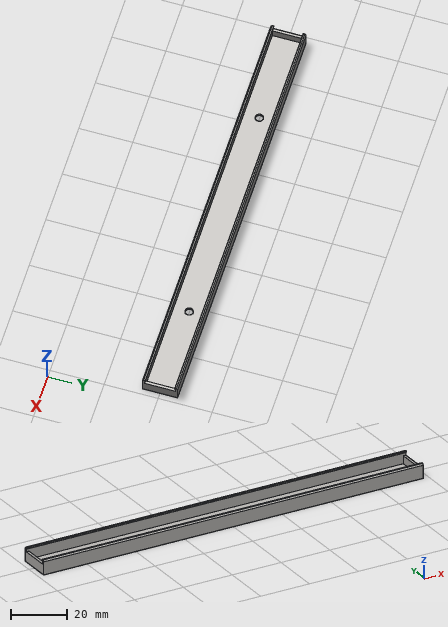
import cadquery as cq

length = 155.6
width = 13.0
height = 5.8

side_wall = 0.85
end_wall = 1.1
end_wall_height = 4.0
floor = 1.0

lip_overhang = 0.23
lip_height = 0.5

chamfer_width = 0.5
chamfer_height = 0.55

hole_diameter = 3.0
hole_spacing = 85.0


def make_tray():
    """Open trough with end walls lower than its side walls."""
    body = cq.Workplane("XY").box(length, width, height, centered=(True, True, False))
    cavity = (
        cq.Workplane("XY", origin=(0, 0, floor))
        .box(length - 2 * end_wall, width - 2 * side_wall, height, centered=(True, True, False))
    )
    end_opening = (
        cq.Workplane("XY", origin=(0, 0, end_wall_height))
        .box(length, width - 2 * side_wall, height, centered=(True, True, False))
    )
    return body.cut(cavity).cut(end_opening)


def along_length(points):
    """Extrude a YZ outline over the full length of the tray."""
    return cq.Workplane("YZ", origin=(-length / 2, 0, 0)).polyline(points).close().extrude(length)


def make_lip(side):
    """Inward snap lip at the top of one side wall; side is +1 or -1."""
    inner_face = side * (width / 2 - side_wall)
    tip = inner_face - side * lip_overhang
    lip_bottom = height - lip_height
    return along_length([
        (inner_face, height),
        (tip, height),
        (tip, lip_bottom),
        (inner_face, lip_bottom - lip_overhang),
    ])


def make_edge_cut(side):
    """Waste removed to bevel the outer top edge of one side wall."""
    outer_face = side * width / 2
    return along_length([
        (outer_face, height),
        (outer_face - side * chamfer_width, height),
        (outer_face, height - chamfer_height),
    ])


result = make_tray()
for side in (-1, 1):
    result = result.union(make_lip(side)).cut(make_edge_cut(side))

holes = (
    cq.Workplane("XY")
    .pushPoints([(-hole_spacing / 2, 0), (hole_spacing / 2, 0)])
    .circle(hole_diameter / 2)
    .extrude(floor)
)
result = result.cut(holes)